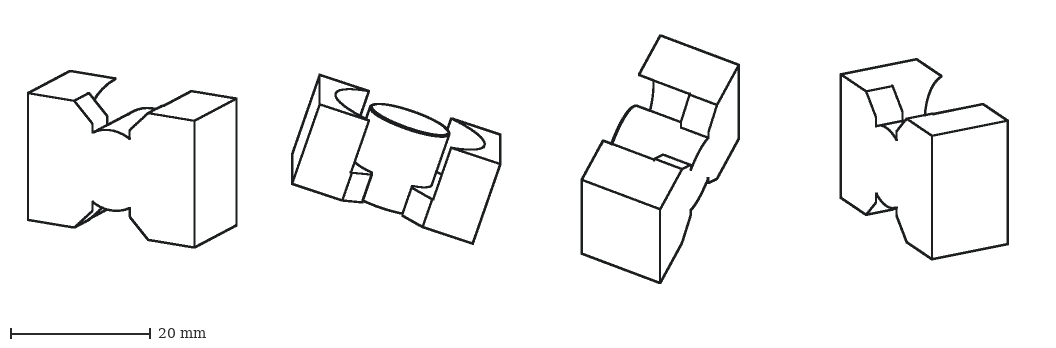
import cadquery as cq

length = 27.3
depth = 12.35
height = 19.0

base_thickness = 4.3
post_diameter = 12.0
post_edge_chamfer = 0.2
window_diameter = 22.55
leg_tip_fillet = 0.05
notch_mouth_width = 12.12
notch_throat_width = 6.05
notch_taper_depth = 3.0
notch_corner_fillet = 0.5


def cylinder_from_y(diameter, start_y):
    """Cylinder along +Y from start_y to the open (+Y) end of the core."""
    return (
        cq.Workplane("XZ", origin=(0, start_y, 0))
        .circle(diameter / 2)
        .extrude(-(depth - start_y))
    )


def legs():
    """Two outer legs left beside the round window, with rounded tips."""
    block = (
        cq.Workplane("XY", origin=(0, base_thickness, 0))
        .box(length, depth - base_thickness, height, centered=(True, False, True))
    )
    leg_tips = cq.selectors.BoxSelector(
        (-length / 4, 0, -height), (length / 4, depth, height)
    )
    return (
        block.cut(cylinder_from_y(window_diameter, base_thickness))
        .edges("|Y")
        .edges(leg_tips)
        .fillet(leg_tip_fillet)
    )


def plate_notch():
    """Tapered notch in the +Z edge, reaching in to the centre of the post."""
    half_mouth = notch_mouth_width / 2
    half_throat = notch_throat_width / 2
    top = height / 2
    taper_end = top - notch_taper_depth
    outline = [
        (-half_mouth, top),
        (-half_throat, taper_end),
        (-half_throat, 0),
        (half_throat, 0),
        (half_throat, taper_end),
        (half_mouth, top),
    ]
    taper_corners = cq.selectors.BoxSelector(
        (-half_mouth, 0, taper_end - notch_corner_fillet),
        (half_mouth, base_thickness, taper_end + notch_corner_fillet),
    )
    return (
        cq.Workplane("XZ")
        .polyline(outline)
        .close()
        .extrude(-base_thickness)
        .edges("|Y")
        .edges(taper_corners)
        .fillet(notch_corner_fillet)
    )


plate = cq.Workplane("XY").box(length, base_thickness, height, centered=(True, False, True))
notch = plate_notch()
plate = plate.cut(notch).cut(notch.mirror("XY"))

post = cylinder_from_y(post_diameter, 0).faces(">Y").edges().chamfer(post_edge_chamfer)

result = plate.union(legs()).union(post).clean()